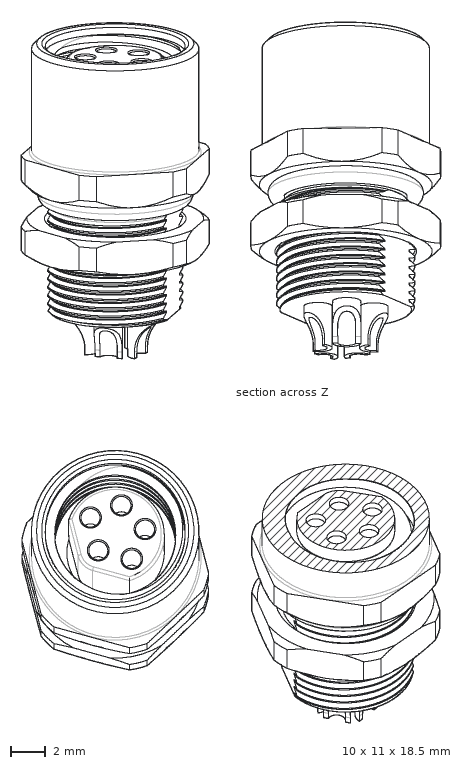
import cadquery as cq
import math

PIN_LENGTH = 2.5
STEM_BOTTOM = PIN_LENGTH
NUT_BOTTOM = 6.0
HEX_HEIGHT = 2.0
NUT_TOP = NUT_BOTTOM + HEX_HEIGHT
STEM_TOP = 9.0
FLANGE_BOTTOM = 10.0
FLANGE_TOP = FLANGE_BOTTOM + HEX_HEIGHT
TOTAL_HEIGHT = 18.5

ACROSS_FLATS = 10.0
CORNER_RADIUS = 5.495
FACE_RADIUS = 5.0
NUT_TOP_FACE_RADIUS = 5.12
FLANGE_CHAMFER_HEIGHT = 0.5
NUT_CHAMFER_HEIGHT = 0.29
NUT_BORE_RADIUS = 3.7
NUT_COUNTERSINK_RADIUS = 4.1

THREAD_RADIUS = 4.0
THREAD_PITCH = 0.5
THREAD_ROOT_RADIUS = 3.73
THREAD_ROOT_WIDTH = 0.06
THREAD_CREST_WIDTH = 0.06
THREAD_RUN_IN = 0.935
STEM_CHAMFER = 0.2
NECK_RADIUS = 3.55
SHOULDER_RADIUS = 3.75
SHOULDER_SLOPE = 0.6
FLAT_WIDTH = 7.0

RING_SECTION_RADIUS = 0.5
RING_RADIUS = 4.0

SLEEVE_RADIUS = 4.85
SLEEVE_CHAMFER = 0.3
SLEEVE_FILLET = 0.13
SOCKET_FLOOR = 12.5
SOCKET_RADIUS = 3.5
SOCKET_THREAD_RADIUS = 4.0
SOCKET_RELIEF_RADIUS = 4.05
SOCKET_PITCH = 1.0
SOCKET_ROOT_WIDTH = 0.15
SOCKET_CREST_WIDTH = 0.3
SOCKET_THREAD_BOTTOM = 14.0
SOCKET_RUN_IN = 1.35
LEAD_IN_SLOPE = 0.3
LINER_SEAT_RADIUS = 4.3
MOUTH_RADIUS = 4.25
MOUTH_CHAMFER_HEIGHT = 0.15
MOUTH_DEPTH = 0.55

INSERT_RADIUS = 2.84
INSERT_TOP = 17.65
INSERT_FILLET = 0.18
KEY_ANGLE = 30.0
KEY_NOSE_RADIUS = 1.2
SEAL_SECTION_RADIUS = 0.5
SEAL_SQUEEZE = 0.04
SEAL_RADIUS = INSERT_RADIUS + SEAL_SECTION_RADIUS - SEAL_SQUEEZE

KEY_CONTACT_Y = -1.37
CONTACTS = [(0.98, 1.45), (-0.98, 1.45), (1.71, -0.335), (-1.71, -0.335), (0, KEY_CONTACT_Y)]
CONTACT_HOLE_RADIUS = 0.55
CONTACT_HOLE_DEPTH = 4.0
CONTACT_HOLE_CHAMFER = 0.08
DRILL_POINT_ANGLE = 118.0
PIN_RADIUS = 0.82
CUP_RADIUS = 0.52
CUP_DEPTH = 2.1
SCOOP_TOP = 2.0
SCOOP_STRAIGHT = 0.4
SCOOP_INSET = -0.05

THREAD_CLEARANCE = 0.02
OVERLAP = 0.1


def revolve(points):
    """Revolve an (r, z) outline about the Z axis."""
    return cq.Workplane("XZ").polyline(points).close().revolve(360, (0, 0), (0, 1))


def ring(center_radius, section_radius, z):
    """Torus around the Z axis."""
    return (
        cq.Workplane("XZ").center(center_radius, z).circle(section_radius)
        .revolve(360, (-center_radius, 0), (-center_radius, 1))
    )


def thread_groove(inner, inner_width, outer, outer_width, pitch, z_start, z_end):
    """Right-handed helical groove with a trapezoid section between two radii."""
    path = cq.Wire.makeHelix(pitch, z_end - z_start, inner, cq.Vector(0, 0, z_start))
    section = (
        cq.Workplane("XZ")
        .moveTo(inner, z_start - inner_width / 2)
        .lineTo(outer, z_start - outer_width / 2)
        .lineTo(outer, z_start + outer_width / 2)
        .lineTo(inner, z_start + inner_width / 2)
        .close()
    )
    return section.sweep(cq.Workplane(path), isFrenet=True)


def hexagon(z_bottom, bottom_chamfer, bottom_radius, top_chamfer=0, top_radius=CORNER_RADIUS):
    """Hexagon with flats on +X and -X, turned to the corner radius and chamfered."""
    prism = (
        cq.Workplane("XY", origin=(0, 0, z_bottom))
        .polygon(6, ACROSS_FLATS / math.cos(math.pi / 6)).extrude(HEX_HEIGHT)
        .rotate((0, 0, 0), (0, 0, 1), 30)
    )
    z_top = z_bottom + HEX_HEIGHT
    outline = [(0, z_bottom), (bottom_radius, z_bottom), (CORNER_RADIUS, z_bottom + bottom_chamfer)]
    if top_chamfer > 0:
        outline.append((CORNER_RADIUS, z_top - top_chamfer))
    outline += [(top_radius, z_top), (0, z_top)]
    return prism.intersect(revolve(outline))


def stem():
    """Threaded stem with chamfered ends, two flats and a plain neck above."""
    run_out = 3 * THREAD_PITCH
    blank = (
        cq.Workplane("XY", origin=(0, 0, STEM_BOTTOM - run_out))
        .circle(THREAD_RADIUS).extrude(STEM_TOP - STEM_BOTTOM + 2 * run_out)
    )
    groove = thread_groove(
        THREAD_ROOT_RADIUS,
        THREAD_ROOT_WIDTH,
        THREAD_RADIUS + THREAD_CLEARANCE,
        THREAD_PITCH - THREAD_CREST_WIDTH,
        THREAD_PITCH,
        STEM_BOTTOM - THREAD_RUN_IN,
        STEM_TOP + THREAD_PITCH,
    )
    envelope_radius = THREAD_RADIUS + OVERLAP
    bottom_radius = THREAD_RADIUS - STEM_CHAMFER
    shoulder_bottom = STEM_TOP - (SHOULDER_RADIUS - NECK_RADIUS)
    envelope = revolve([
        (0, STEM_BOTTOM),
        (bottom_radius, STEM_BOTTOM),
        (envelope_radius, STEM_BOTTOM + envelope_radius - bottom_radius),
        (envelope_radius, shoulder_bottom - SHOULDER_SLOPE * (envelope_radius - SHOULDER_RADIUS)),
        (SHOULDER_RADIUS, shoulder_bottom),
        (NECK_RADIUS, STEM_TOP),
        (0, STEM_TOP),
    ])
    flats = (
        cq.Workplane("XY", origin=(0, 0, STEM_BOTTOM))
        .rect(FLAT_WIDTH, 4 * THREAD_RADIUS).extrude(STEM_TOP - STEM_BOTTOM)
    )
    neck = (
        cq.Workplane("XY", origin=(0, 0, STEM_TOP - OVERLAP))
        .circle(FLAT_WIDTH / 2).extrude(OVERLAP)
        .union(
            cq.Workplane("XY", origin=(0, 0, STEM_TOP))
            .circle(NECK_RADIUS).extrude(FLANGE_BOTTOM + OVERLAP - STEM_TOP)
        )
    )
    return blank.cut(groove).intersect(envelope).intersect(flats).union(neck)


def nut():
    """Lock nut, chamfered on both faces, with a countersunk bore."""
    body = hexagon(
        NUT_BOTTOM, NUT_CHAMFER_HEIGHT, FACE_RADIUS, NUT_CHAMFER_HEIGHT, NUT_TOP_FACE_RADIUS
    )
    step = NUT_COUNTERSINK_RADIUS - NUT_BORE_RADIUS
    bore = revolve([
        (0, NUT_BOTTOM),
        (NUT_COUNTERSINK_RADIUS, NUT_BOTTOM),
        (NUT_BORE_RADIUS, NUT_BOTTOM + step),
        (NUT_BORE_RADIUS, NUT_TOP - step),
        (NUT_COUNTERSINK_RADIUS, NUT_TOP),
        (0, NUT_TOP),
    ])
    return body.cut(bore)


def threaded_liner():
    """Internally threaded band of the sleeve with a flared mouth."""
    run_out = 2.5 * SOCKET_PITCH
    liner_radius = LINER_SEAT_RADIUS + OVERLAP
    blank = (
        cq.Workplane("XY", origin=(0, 0, SOCKET_THREAD_BOTTOM - run_out))
        .circle(liner_radius).circle(SOCKET_RADIUS)
        .extrude(TOTAL_HEIGHT - SOCKET_THREAD_BOTTOM + 2 * run_out)
    )
    groove = thread_groove(
        SOCKET_RADIUS - THREAD_CLEARANCE,
        SOCKET_PITCH - SOCKET_CREST_WIDTH,
        SOCKET_THREAD_RADIUS,
        SOCKET_ROOT_WIDTH,
        SOCKET_PITCH,
        SOCKET_THREAD_BOTTOM - SOCKET_RUN_IN,
        TOTAL_HEIGHT + SOCKET_PITCH,
    )
    mouth_bottom = TOTAL_HEIGHT - MOUTH_DEPTH
    lead_in = LEAD_IN_SLOPE * (SOCKET_RELIEF_RADIUS - SOCKET_RADIUS)
    lead_in_bottom = mouth_bottom - lead_in - OVERLAP * LEAD_IN_SLOPE
    envelope = revolve([
        (SOCKET_RADIUS - OVERLAP, SOCKET_THREAD_BOTTOM),
        (2 * liner_radius, SOCKET_THREAD_BOTTOM),
        (2 * liner_radius, TOTAL_HEIGHT),
        (MOUTH_RADIUS, TOTAL_HEIGHT),
        (SOCKET_RELIEF_RADIUS, TOTAL_HEIGHT - MOUTH_CHAMFER_HEIGHT),
        (SOCKET_RELIEF_RADIUS, mouth_bottom),
        (SOCKET_RADIUS - OVERLAP, lead_in_bottom),
    ])
    return blank.cut(groove).intersect(envelope)


def sleeve():
    """Round sleeve above the flange, bored and threaded inside."""
    outside = (
        cq.Workplane("XZ")
        .moveTo(0, FLANGE_TOP - OVERLAP)
        .lineTo(SLEEVE_RADIUS + SLEEVE_FILLET, FLANGE_TOP - OVERLAP)
        .lineTo(SLEEVE_RADIUS + SLEEVE_FILLET, FLANGE_TOP)
        .radiusArc((SLEEVE_RADIUS, FLANGE_TOP + SLEEVE_FILLET), SLEEVE_FILLET)
        .lineTo(SLEEVE_RADIUS, TOTAL_HEIGHT - SLEEVE_CHAMFER)
        .lineTo(SLEEVE_RADIUS - SLEEVE_CHAMFER, TOTAL_HEIGHT)
        .lineTo(0, TOTAL_HEIGHT)
        .close()
        .revolve(360, (0, 0), (0, 1))
    )
    floor_bore = (
        cq.Workplane("XY", origin=(0, 0, SOCKET_FLOOR))
        .circle(SOCKET_RELIEF_RADIUS).extrude(SOCKET_THREAD_BOTTOM - SOCKET_FLOOR)
    )
    liner_seat = (
        cq.Workplane("XY", origin=(0, 0, SOCKET_THREAD_BOTTOM))
        .circle(LINER_SEAT_RADIUS).extrude(TOTAL_HEIGHT - SOCKET_THREAD_BOTTOM)
    )
    return outside.cut(floor_bore).cut(liner_seat).union(threaded_liner())


def insert():
    """Contact carrier with a V-shaped key side rounded around the lowest contact."""
    height = INSERT_TOP - SOCKET_FLOOR + OVERLAP
    z_base = SOCKET_FLOOR - OVERLAP
    round_body = cq.Workplane("XY", origin=(0, 0, z_base)).circle(INSERT_RADIUS).extrude(height)
    angle = math.radians(KEY_ANGLE)
    nose_x = KEY_NOSE_RADIUS * math.sin(angle)
    nose_y = KEY_CONTACT_Y - KEY_NOSE_RADIUS * math.cos(angle)
    side_x = 2 * INSERT_RADIUS
    side_y = nose_y + (side_x - nose_x) * math.tan(angle)
    key_shape = (
        cq.Workplane("XY", origin=(0, 0, z_base))
        .moveTo(nose_x, nose_y)
        .lineTo(side_x, side_y)
        .lineTo(side_x, side_x)
        .lineTo(-side_x, side_x)
        .lineTo(-side_x, side_y)
        .lineTo(-nose_x, nose_y)
        .threePointArc((0, KEY_CONTACT_Y - KEY_NOSE_RADIUS), (nose_x, nose_y))
        .close()
        .extrude(height)
    )
    return round_body.intersect(key_shape).faces(">Z").edges().fillet(INSERT_FILLET)


def contact_hole(x, y):
    """Contact hole with a chamfered mouth and a drill-point bottom."""
    z_bottom = INSERT_TOP - CONTACT_HOLE_DEPTH
    point_depth = CONTACT_HOLE_RADIUS / math.tan(math.radians(DRILL_POINT_ANGLE / 2))
    return revolve([
        (0, z_bottom - point_depth),
        (CONTACT_HOLE_RADIUS, z_bottom),
        (CONTACT_HOLE_RADIUS, INSERT_TOP - CONTACT_HOLE_CHAMFER),
        (CONTACT_HOLE_RADIUS + CONTACT_HOLE_CHAMFER, INSERT_TOP),
        (0, INSERT_TOP),
    ]).translate((x, y, 0))


def solder_pin(x, y):
    """Solder cup: bored from below and scooped open on the side facing outward."""
    pin = cq.Workplane("XY").circle(PIN_RADIUS).extrude(PIN_LENGTH + OVERLAP)
    cup = cq.Workplane("XY").circle(CUP_RADIUS).extrude(CUP_DEPTH)
    run = PIN_RADIUS - SCOOP_INSET
    rise = SCOOP_TOP - SCOOP_STRAIGHT
    arc_radius = (run ** 2 + rise ** 2) / (2 * run)
    scoop = (
        cq.Workplane("XZ")
        .moveTo(SCOOP_INSET, 0)
        .lineTo(SCOOP_INSET, SCOOP_STRAIGHT)
        .radiusArc((PIN_RADIUS, SCOOP_TOP), arc_radius)
        .lineTo(2 * PIN_RADIUS, SCOOP_TOP)
        .lineTo(2 * PIN_RADIUS, 0)
        .close()
        .extrude(2 * PIN_RADIUS, both=True)
    )
    outward = math.degrees(math.atan2(y, x))
    return pin.cut(cup).cut(scoop).rotate((0, 0, 0), (0, 0, 1), outward).translate((x, y, 0))


flange = hexagon(FLANGE_BOTTOM, FLANGE_CHAMFER_HEIGHT, FACE_RADIUS)
seal = ring(SEAL_RADIUS, SEAL_SECTION_RADIUS, SOCKET_FLOOR + SEAL_SECTION_RADIUS - OVERLAP)
result = sleeve().union(flange).union(seal).union(insert())
for contact_x, contact_y in CONTACTS:
    result = result.cut(contact_hole(contact_x, contact_y))

lower = stem().union(nut())
for contact_x, contact_y in CONTACTS:
    lower = lower.union(solder_pin(contact_x, contact_y))
flange_ring = ring(RING_RADIUS, RING_SECTION_RADIUS, FLANGE_BOTTOM - RING_SECTION_RADIUS)

result = result.union(lower.union(flange_ring))